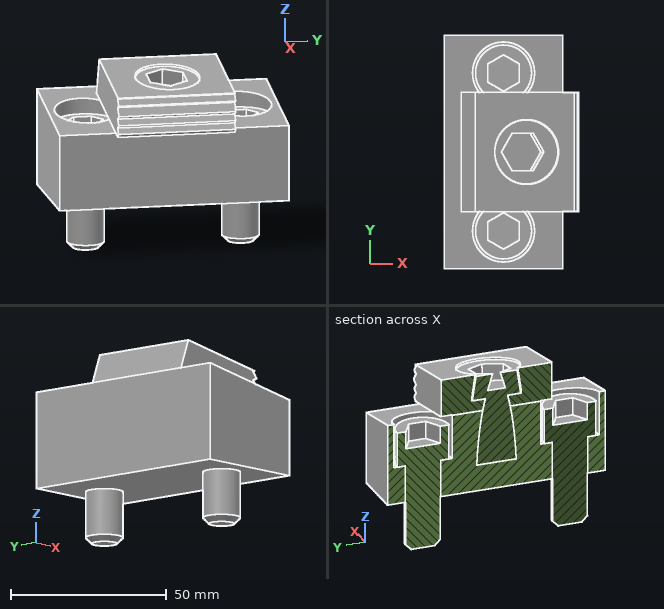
import cadquery as cq
import math

BLOCK_WIDTH = 38.1
BLOCK_LENGTH = 74.9
BLOCK_HIGH_SIDE = 31.5
SLOPE_ANGLE = 10.0
SLOPE = math.tan(math.radians(SLOPE_ANGLE))

SCREW_X = BLOCK_WIDTH / 2
SCREW_Y = 25.3
SCREW_DIAMETER = 12.1
SCREW_TIP_Z = -16.85
SCREW_TIP_CHAMFER = 1.95
SCREW_HEAD_DIAMETER = 18.0
SCREW_HEAD_HEIGHT = 12.0
SCREW_HEAD_TOP_Z = 24.95
SCREW_SEAT_Z = SCREW_HEAD_TOP_Z - SCREW_HEAD_HEIGHT
SCREW_HEX_FLATS = 10.1
SCREW_HEX_DEPTH = 6.0
COUNTERBORE_DIAMETER = 19.9

JAW_LENGTH = 38.2
JAW_BACK_BOTTOM_X = 5.5
JAW_BACK_TOP_X = 10.0
JAW_TOP_Z = 42.7
JAW_LIP_X = 41.65
JAW_TOE_X = 41.4

TOOTH_ROOT_X = 41.1
TOOTH_TIP_X = 42.7
LONG_TOOTH_TIP_X = 43.15
TOOTH_TIPS = [
    (TOOTH_TIP_X, 25.4),
    (TOOTH_TIP_X, 28.25),
    (LONG_TOOTH_TIP_X, 31.3),
    (TOOTH_TIP_X, 34.7),
]
TOOTH_ROOT_Z = [27.2, 30.1, 33.95, 36.7]

CLAMP_SCREW_X = 26.45
CLAMP_HEAD_DIAMETER = 20.5
CLAMP_COUNTERBORE_DIAMETER = 20.8
CLAMP_HEAD_RECESS = 0.7
CLAMP_HEAD_HEIGHT = 8.25
CLAMP_SHANK_DIAMETER = 14.0
CLAMP_SHANK_LENGTH = 22.5
CLAMP_HEX_FLATS = 12.0
CLAMP_HEX_DEPTH = 5.55
CLAMP_HEX_OFFSET = 1.2


def slope_z(x):
    """Height of the block's sloping top at x."""
    return BLOCK_HIGH_SIDE - SLOPE * x


def jaw_top_z(x):
    """Height of the jaw's top face, parallel to the slope, at x."""
    return JAW_TOP_Z - SLOPE * (x - JAW_BACK_TOP_X)


def extrude_profile(points, length):
    """Extrude an XZ outline along Y, centred on Y = 0."""
    return cq.Workplane("XZ").polyline(points).close().extrude(length / 2, both=True)


def cylinder(plane, diameter, start, end):
    """Cylinder along the plane's normal between two distances from its origin."""
    return cq.Workplane(plane).workplane(offset=start).circle(diameter / 2).extrude(end - start)


def hex_socket(plane, flats, top, depth, turn=0):
    """Hexagonal cutter, turned by the given angle about the plane's normal."""
    corners = flats / math.cos(math.pi / 6)
    socket_plane = plane.rotated((0, 0, turn))
    return cq.Workplane(socket_plane).workplane(offset=top - depth).polygon(6, corners).extrude(depth)


CLAMP_PLANE = cq.Plane(
    origin=(CLAMP_SCREW_X, 0, jaw_top_z(CLAMP_SCREW_X)),
    xDir=(1, 0, -SLOPE),
    normal=(SLOPE, 0, 1),
)
CLAMP_HEAD_TOP = -CLAMP_HEAD_RECESS
CLAMP_SEAT = CLAMP_HEAD_TOP - CLAMP_HEAD_HEIGHT
CLAMP_SHANK_END = CLAMP_SEAT - CLAMP_SHANK_LENGTH


def mounting_plane(side):
    """Frame at Z = 0 on the mounting screw's axis; side is -1 or 1."""
    return cq.Plane(origin=(SCREW_X, side * SCREW_Y, 0))


def make_clamp_shank():
    return cylinder(CLAMP_PLANE, CLAMP_SHANK_DIAMETER, CLAMP_SHANK_END, CLAMP_SEAT)


def make_block():
    outline = [
        (0, 0),
        (BLOCK_WIDTH, 0),
        (BLOCK_WIDTH, slope_z(BLOCK_WIDTH)),
        (0, BLOCK_HIGH_SIDE),
    ]
    block = extrude_profile(outline, BLOCK_LENGTH)
    for side in (-1, 1):
        plane = mounting_plane(side)
        block = block.cut(cylinder(plane, SCREW_DIAMETER, 0, SCREW_SEAT_Z))
        block = block.cut(cylinder(plane, COUNTERBORE_DIAMETER, SCREW_SEAT_Z, BLOCK_HIGH_SIDE))
    return block.cut(make_clamp_shank())


def make_jaw():
    outline = [
        (JAW_BACK_TOP_X, JAW_TOP_Z),
        (JAW_BACK_BOTTOM_X, slope_z(JAW_BACK_BOTTOM_X)),
        (JAW_TOE_X, slope_z(JAW_TOE_X)),
    ]
    for tip, root_z in zip(TOOTH_TIPS, TOOTH_ROOT_Z):
        outline.append(tip)
        outline.append((TOOTH_ROOT_X, root_z))
    outline.append((JAW_LIP_X, jaw_top_z(JAW_LIP_X)))
    jaw = extrude_profile(outline, JAW_LENGTH)
    jaw = jaw.cut(cylinder(CLAMP_PLANE, CLAMP_COUNTERBORE_DIAMETER, CLAMP_SEAT, 0))
    return jaw.cut(make_clamp_shank())


def make_mounting_screw(side):
    plane = mounting_plane(side)
    shank = cylinder(plane, SCREW_DIAMETER, SCREW_TIP_Z, SCREW_SEAT_Z)
    shank = shank.faces("<Z").chamfer(SCREW_TIP_CHAMFER)
    head = cylinder(plane, SCREW_HEAD_DIAMETER, SCREW_SEAT_Z, SCREW_HEAD_TOP_Z)
    socket = hex_socket(plane, SCREW_HEX_FLATS, SCREW_HEAD_TOP_Z, SCREW_HEX_DEPTH, turn=90)
    return shank.union(head).cut(socket)


def make_clamp_screw():
    head = cylinder(CLAMP_PLANE, CLAMP_HEAD_DIAMETER, CLAMP_SEAT, CLAMP_HEAD_TOP)
    socket = hex_socket(CLAMP_PLANE, CLAMP_HEX_FLATS, CLAMP_HEAD_TOP, CLAMP_HEX_DEPTH)
    socket = socket.translate(CLAMP_PLANE.xDir * -CLAMP_HEX_OFFSET)
    return make_clamp_shank().union(head).cut(socket)


block = make_block()
jaw = make_jaw()
mounting_screws = [make_mounting_screw(side) for side in (-1, 1)]
clamp_screw = make_clamp_screw()

result = cq.Compound.makeCompound(
    [block.val(), jaw.val(), *[screw.val() for screw in mounting_screws], clamp_screw.val()]
)